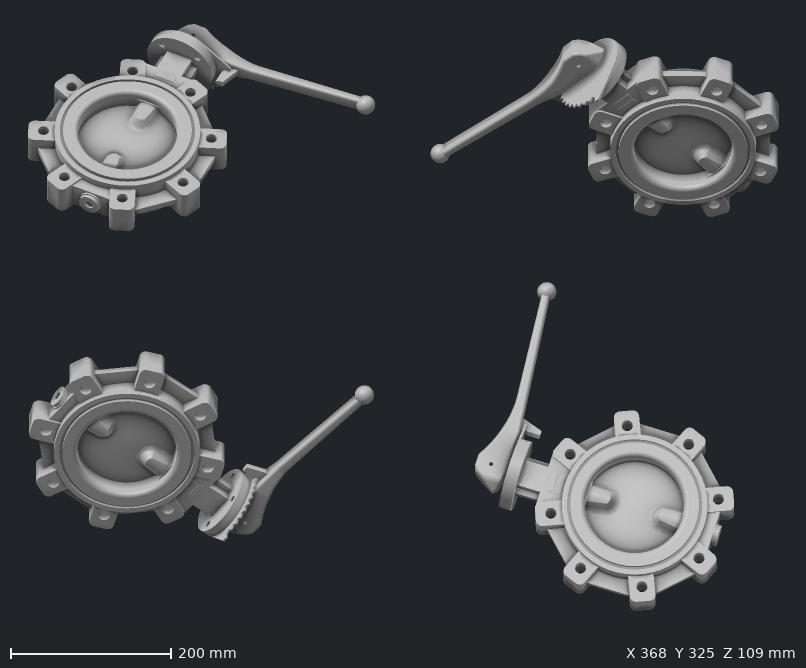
import cadquery as cq
import math


overall_length = 368.0
overall_width = 325.0

body_diameter = 182.0
body_half_height = 27.5
seat_recess_diameter = 169.0
seat_face_diameter = 161.0
seat_groove_depth = 3.5
seat_half_height = 28.7
bore_diameter = 124.0
bore_lip_radius = 6.0

lug_count = 8
lug_pitch = 360 / lug_count
half_pitch = math.radians(lug_pitch / 2)
lug_width = 31.5
lug_root = 76.5
lug_reach = 124.0
lug_corner_radius = 16.0 / 2
lug_height = 40.0
bolt_circle_radius = 105.0
bolt_hole_diameter = 14.0

lug_extent = (
    (lug_reach - lug_corner_radius) * math.cos(half_pitch)
    + (lug_width / 2 - lug_corner_radius) * math.sin(half_pitch)
    + lug_corner_radius
)

web_across_flats = 216.5
web_thickness = 9.0

neck_width = 34.0
neck_wing_width = 49.0
neck_wing_thickness = 10.0
top_pad_width = 73.5
bottom_pad_width = 51.0
bottom_pad_reach = 103.5
pad_height = 34.0
label_width = 25.0
label_length = 7.7
label_centres = (98.0, 108.2)
label_relief = 0.7

plug_collar_diameter = 30.0
plug_head_diameter = 27.0
plug_collar_length = 2.2
plug_length = 6.5
plug_hex_flats = 10.0
plug_hex_depth = 3.5

flange_diameter = 90.0
flange_bottom = 148.0
flange_top = 161.0
flange_hole_spacing = 49.5
flange_hole_diameter = 9.0
plate_top = 163.5
plate_radius = 44.0
notch_pitch = 10
notch_count = 9
notch_root_radius = 52.3
notch_tip_radius = 57.0
notch_tip_angle = 1.0
stop_offset = 4.5
stop_width = 6.3
stop_reach = 64.0
stop_root = 55.5
plate_tangent_near = 29.5
plate_tangent_far = 34.0

disc_rim_half_thickness = 3.3
disc_cone_angle = 2.5
disc_crown_radius = 11.0
hub_height = 16.5
hub_crown_radius = 22.0
hub_root_half_width = 21.5
hub_tip_half_width = 17.3
hub_root = 73.5
hub_tip = 32.5
hub_nose = 20.2
hub_flank_angle = 35
hub_fillet = 7.5
stem_flat = 59.5
stem_flat_height = 34.5

lever_width = 28.7
rod_width = 18.0
nose_x = -32.0
nose_half_width = 3.0
shoulder_x = -18.5
grip_start_x = 47.5
plan_blend_radius = 11.0
rod_start_x = 86.0
rod_end_x = 233.8
lever_bottom = 166.0
lever_top = overall_width - lug_extent
lever_edge_radius = 3.5
pin_hole_diameter = 5.0
pin_height = 187.8
ball_diameter = 24.0
ball_x = overall_length - lug_extent - ball_diameter / 2
ball_y = 190.0
spindle_diameter = 14.0
pawl_half_width = 4.0
pawl_clearance = 0.5
pawl_tip = notch_root_radius + pawl_clearance
pawl_bottom = 141.7
pawl_top = 170.0
pawl_toe_x = 62.5
pawl_heel_x = 70.5


def cylinder_z(diameter, half_height):
    return cq.Workplane("XY").circle(diameter / 2).extrude(half_height, both=True)


def cylinder_y(diameter, y_start, y_end):
    plane = cq.Workplane("XZ", origin=(0, y_start, 0))
    return plane.circle(diameter / 2).extrude(y_start - y_end)


def block(width, y_start, y_end, height):
    centre = (0, (y_start + y_end) / 2, 0)
    return cq.Workplane("XY").box(width, y_end - y_start, height).translate(centre)


def make_ring():
    """Body ring with a seat standing in a narrow groove on both faces."""
    ring = cylinder_z(body_diameter, body_half_height)
    groove = cylinder_z(seat_recess_diameter, body_half_height)
    groove = groove.cut(cylinder_z(seat_recess_diameter, body_half_height - seat_groove_depth))
    return ring.cut(groove).union(cylinder_z(seat_face_diameter, seat_half_height))


def make_lugs():
    lug = (
        cq.Workplane("XY")
        .center((lug_root + lug_reach) / 2, 0)
        .rect(lug_reach - lug_root, lug_width)
        .extrude(lug_height / 2, both=True)
        .edges("|Z and >X")
        .fillet(lug_corner_radius)
    )
    lugs = cq.Workplane("XY")
    for i in range(lug_count):
        lugs = lugs.union(lug.rotate((0, 0, 0), (0, 0, 1), lug_pitch * (i + 0.5)))
    return lugs


def make_web():
    """Thin octagonal web between the lugs, trimmed level with the bottom pad."""
    across_corners = web_across_flats / math.cos(half_pitch)
    web = cq.Workplane("XY").polygon(lug_count, across_corners).extrude(web_thickness / 2, both=True)
    web = web.rotate((0, 0, 0), (0, 0, 1), lug_pitch / 2)
    return web.cut(block(top_pad_width, -web_across_flats, -bottom_pad_reach, web_thickness))


def make_plug():
    head_end = -bottom_pad_reach - plug_length
    collar_end = -bottom_pad_reach - plug_collar_length
    plug = cylinder_y(plug_collar_diameter, -bottom_pad_reach, collar_end)
    plug = plug.union(cylinder_y(plug_head_diameter, collar_end, head_end))
    hexagon = (
        cq.Workplane("XZ", origin=(0, head_end, 0))
        .transformed(rotate=(0, 0, 30))
        .polygon(6, plug_hex_flats / math.cos(math.radians(30)))
        .extrude(-plug_hex_depth)
    )
    return plug.cut(hexagon)


def make_flange():
    flange = cylinder_y(flange_diameter, flange_bottom, flange_top)
    holes = (
        cq.Workplane("XZ", origin=(0, flange_bottom, 0))
        .rect(flange_hole_spacing, flange_hole_spacing, forConstruction=True)
        .vertices()
        .circle(flange_hole_diameter / 2)
        .extrude(flange_bottom - flange_top)
    )
    return flange.cut(holes)


def polar_below(radius, degrees):
    """Point at an angle from -Z towards +X."""
    angle = math.radians(degrees)
    return (radius * math.sin(angle), -radius * math.cos(angle))


def make_notched_plate():
    """Round plate with a notched quarter sector between two stops."""
    first_stop = [
        (-plate_tangent_far, -plate_tangent_near),
        (-stop_offset - stop_width, -stop_reach),
        (-stop_offset, -stop_reach),
        (-stop_offset, -stop_root),
    ]
    outline = list(first_stop)
    for i in range(notch_count):
        tip = (i + 0.5) * notch_pitch
        outline.append(polar_below(notch_root_radius, i * notch_pitch))
        outline.append(polar_below(notch_tip_radius, tip - notch_tip_angle / 2))
        outline.append(polar_below(notch_tip_radius, tip + notch_tip_angle / 2))
    outline.append(polar_below(notch_root_radius, notch_count * notch_pitch))
    outline += [(-z, -x) for x, z in reversed(first_stop)]
    thickness = plate_top - flange_top
    plane = cq.Workplane("XZ", origin=(0, flange_top, 0))
    sector = plane.polyline(outline).close().extrude(-thickness)
    return sector.union(cylinder_y(2 * plate_radius, flange_top, plate_top))


def foot_box(side):
    """Selects the edges where the hub on one side of the disc stands on the disc face."""
    low = (-hub_root_half_width, side * hub_nose, disc_rim_half_thickness)
    high = (hub_root_half_width, side * (bore_diameter / 2), 2 * disc_rim_half_thickness)
    return cq.selectors.BoxSelector(low, high)


def make_half_disc():
    """Upper half of the disc: a shallow cone with a rounded crown and two tapered hubs."""
    slope = math.radians(disc_cone_angle)
    blank_radius = hub_root + 7.5
    rim_radius = bore_diameter / 2
    blank_height = disc_rim_half_thickness - (blank_radius - rim_radius) * math.tan(slope)
    shoulder_height = disc_rim_half_thickness + (rim_radius - disc_crown_radius) * math.tan(slope)
    crown_height = shoulder_height + disc_crown_radius * math.tan(slope / 2)
    half = (
        cq.Workplane("XZ")
        .lineTo(blank_radius, 0)
        .lineTo(blank_radius, blank_height)
        .lineTo(disc_crown_radius, shoulder_height)
        .tangentArcPoint((0, crown_height), relative=False)
        .close()
        .revolve(360, (0, 0), (0, 1))
    )
    crown = cylinder_y(2 * hub_crown_radius, -hub_root, hub_root)
    crown = crown.translate((0, 0, hub_height - hub_crown_radius))
    for side in (1, -1):
        hub = (
            cq.Workplane("XY")
            .moveTo(-hub_root_half_width, side * hub_root)
            .lineTo(-hub_tip_half_width, side * hub_tip)
            .threePointArc((0, side * hub_nose), (hub_tip_half_width, side * hub_tip))
            .lineTo(hub_root_half_width, side * hub_root)
            .close()
            .extrude(hub_height, taper=hub_flank_angle)
        )
        half = half.union(hub.intersect(crown))
    foot_edges = half.edges(foot_box(1)).add(half.edges(foot_box(-1)))
    return half.newObject(foot_edges.vals()).fillet(hub_fillet)


def make_disc():
    half = make_half_disc()
    disc = half.union(half.mirror("XY"))
    return disc.intersect(cylinder_z(bore_diameter, hub_height))


def make_valve():
    valve = make_ring().union(make_lugs()).union(make_web())
    valve = valve.union(block(top_pad_width, 0, lug_extent, pad_height))
    valve = valve.union(block(bottom_pad_width, -bottom_pad_reach, 0, pad_height))
    valve = valve.union(block(neck_width, 0, flange_bottom, pad_height))
    valve = valve.union(block(neck_wing_width, 0, flange_bottom, neck_wing_thickness))
    label_height = pad_height + 2 * label_relief
    for y in label_centres:
        valve = valve.union(block(label_width, y - label_length / 2, y + label_length / 2, label_height))
    valve = valve.cut(cylinder_z(bore_diameter, seat_half_height))
    rims = cq.selectors.RadiusNthSelector(0)
    valve = valve.faces("<Z or >Z").edges(rims).fillet(bore_lip_radius)
    for angle in (0, 180):
        flat = block(bore_diameter / 2, stem_flat, bore_diameter / 2 + 3.5, stem_flat_height)
        valve = valve.union(flat.rotate((0, 0, 0), (0, 0, 1), angle))
    bolt_holes = (
        cq.Workplane("XY")
        .polarArray(bolt_circle_radius, lug_pitch / 2, 360, lug_count)
        .circle(bolt_hole_diameter / 2)
        .extrude(lug_height, both=True)
    )
    valve = valve.cut(bolt_holes)
    valve = valve.union(make_plug()).union(make_flange()).union(make_notched_plate())
    return valve.union(make_disc())


def make_plan():
    """Outline of the lever across its width, with blended shoulders."""
    half_plan = [
        (nose_x, nose_half_width),
        (shoulder_x, lever_width / 2),
        (grip_start_x, lever_width / 2),
        (rod_start_x, rod_width / 2),
        (rod_end_x, rod_width / 2),
    ]
    outline = half_plan + [(x, -z) for x, z in reversed(half_plan)]
    plan = cq.Workplane("XZ").polyline(outline).close().extrude(-2 * lever_top)
    low = (shoulder_x - 0.5, 0, -lever_width)
    high = (grip_start_x + 0.5, 2 * lever_top, lever_width)
    return plan.edges("|Y").edges(cq.selectors.BoxSelector(low, high)).fillet(plan_blend_radius)


def make_arm():
    side = (
        cq.Workplane("XY")
        .moveTo(-5.0, lever_bottom)
        .lineTo(51.5, lever_bottom)
        .lineTo(rod_start_x, 169.7)
        .lineTo(rod_end_x, 184.5)
        .lineTo(rod_end_x, 194.7)
        .lineTo(100.5, 184.5)
        .threePointArc((57.0, 187.0), (21.7, 199.5))
        .lineTo(8.0, lever_top)
        .lineTo(-7.5, lever_top)
        .lineTo(-14.0, 202.5)
        .lineTo(nose_x, 176.0)
        .lineTo(-27.2, 171.0)
        .close()
        .extrude(lever_width / 2, both=True)
    )
    arm = side.intersect(make_plan())
    return arm.edges("not |Z").edges("not(>X)").fillet(lever_edge_radius)


def make_pawl():
    """Wedge-tipped tooth that rests in the last notch of the plate."""
    wedge_end = pawl_tip + pawl_half_width
    wedge = [(pawl_tip, 0), (wedge_end, pawl_half_width), (wedge_end, -pawl_half_width)]
    plane = cq.Workplane("XZ", origin=(0, pawl_bottom, 0))
    tooth = plane.polyline(wedge).close().extrude(pawl_bottom - pawl_top)
    shank = (
        cq.Workplane("XY")
        .moveTo(wedge_end, pawl_bottom)
        .lineTo(pawl_toe_x, pawl_bottom)
        .lineTo(pawl_heel_x, lever_bottom)
        .lineTo(pawl_heel_x, pawl_top)
        .lineTo(wedge_end, pawl_top)
        .close()
        .extrude(pawl_half_width, both=True)
    )
    return tooth.union(shank)


def make_lever():
    lever = make_arm().union(make_pawl())
    ball = cq.Workplane("XY").sphere(ball_diameter / 2).translate((ball_x, ball_y, 0))
    spindle = cylinder_y(spindle_diameter, plate_top, pin_height)
    pin_hole = cylinder_z(pin_hole_diameter, lever_width).translate((0, pin_height, 0))
    return lever.union(ball).union(spindle).cut(pin_hole)


valve = make_valve()
lever = make_lever()
result = cq.Compound.makeCompound([valve.val(), lever.val()])